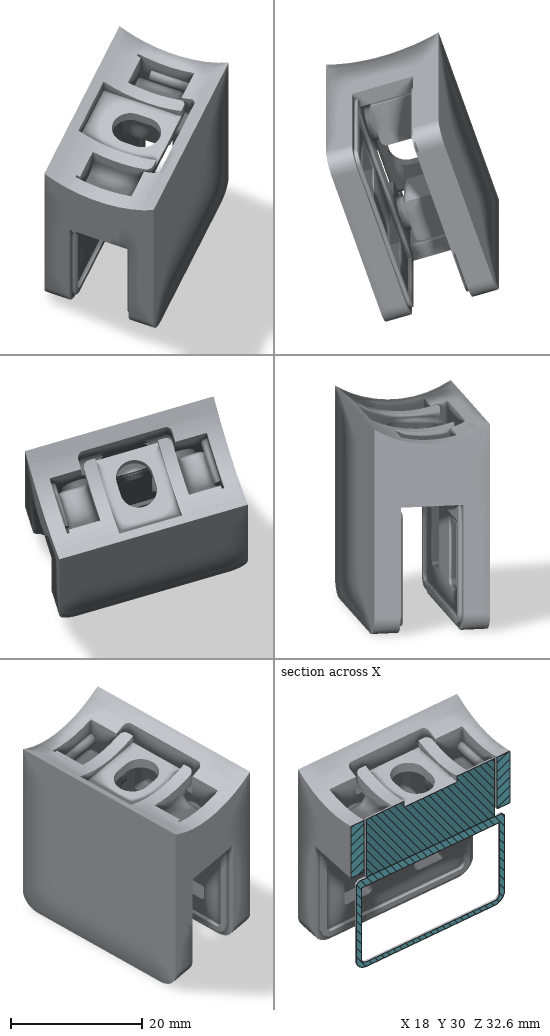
import cadquery as cq
import math

WIDTH = 18.0
DEPTH = 30.0
HEIGHT = 32.6
CORNER_R = 3.0
SADDLE_R = 16.85
JAW_THICKNESS = 4.1
SLOT_TOP = 20.18

JAW_FACE = WIDTH / 2 - JAW_THICKNESS
SADDLE_AXIS_Z = HEIGHT + math.sqrt(SADDLE_R**2 - (WIDTH / 2)**2)

PAD_THICKNESS = 0.6
PAD_INSET = 1.0
PAD_RIM = 1.0
PAD_OPENING_TOP = 17.2
PAD_OPENING_R = 0.98
COVER_PAD_TOP = 18.88
COVER_PAD_CHAMFER = 0.55
PAD_HALF = DEPTH / 2 - PAD_INSET

CAVITY_HALF = 12.52
CAVITY_END = 4.35

POCKET_END = 6.78
POCKET_HALF = 7.5
POCKET_FLOOR = 26.9
RECESS_CORNER_R = 0.95
RECESS_SIDE_R = 0.45
CHANNEL_HALF = 3.95
CHANNEL_FLOOR = 21.2
CHANNEL_FLARE_R = 1.0

BEAD_R = 0.98
BEAD_START = -2.7
BEAD_Z = 26.57
BOSS_R = 2.58
BOSS_Y = 8.02
BOSS_Z = SLOT_TOP + BOSS_R

CHAMBER_OUTER = 9.3
CHAMBER_INNER = CHANNEL_HALF
CHAMBER_BOTTOM = 5.28
CHAMBER_DEPTH = 2.3
CHAMBER_TOP = 15.97
CHAMBER_RIB_R = 0.98
CHAMBER_CORNER_R = 0.5

ARM_HALF = 12.1
TONGUE_HALF = 7.05
TONGUE_END = 5.3
TONGUE_BOTTOM = 27.7
TONGUE_CORNER_R = 1.0
TONGUE_EDGE_R = 0.8
SHOULDER_END = 3.23
SHOULDER_TOP = 26.4
SHOULDER_R = 1.5
SHOULDER_END_R = 0.95
SEAT_START = -7.5
SEAT_HALF = 5.0
SEAT_Z = 29.47
HOLE_LENGTH = 7.63
HOLE_WIDTH = 5.65


def block(x0, x1, y0, y1, z0, z1):
    """Box between the given limits."""
    return cq.Workplane("XY").box(x1 - x0, y1 - y0, z1 - z0, centered=False).translate((x0, y0, z0))


def rod(radius, x0, x1, y, z):
    """Cylinder along X."""
    return cq.Workplane("YZ", origin=(x0, y, z)).circle(radius).extrude(x1 - x0)


def saddle():
    """Tube that hollows the top of the clamp."""
    return cq.Workplane("XZ").center(0, SADDLE_AXIS_Z).circle(SADDLE_R).extrude(DEPTH, both=True)


def jaw(x0):
    """Full-height side plate with rounded lower corners."""
    plate = block(x0, x0 + JAW_THICKNESS, -DEPTH / 2, DEPTH / 2, 0, HEIGHT)
    return plate.edges("|X and <Z").fillet(CORNER_R)


def wall_recess(half_width, floor):
    """Upright recess in the far cavity wall, rounded at its corners and floor edges."""
    raw = block(CAVITY_END, POCKET_END, -half_width, half_width, floor, HEIGHT)
    round_corners = raw.edges("|Z and >X").fillet(RECESS_CORNER_R)
    round_far_edge = raw.edges("|Y and >X and <Z").fillet(RECESS_CORNER_R)
    round_sides = raw.edges("|X and <Z").fillet(RECESS_SIDE_R)
    return round_corners.intersect(round_far_edge).intersect(round_sides)


def channel_flare():
    """Rounded mouth that widens the channel up to the pocket floor."""
    mouth_half = CHANNEL_HALF + CHANNEL_FLARE_R
    mouth_bottom = POCKET_FLOOR - CHANNEL_FLARE_R
    mouth = block(CAVITY_END, POCKET_END, -mouth_half, mouth_half, mouth_bottom, POCKET_FLOOR)
    for side in (-1, 1):
        lip = rod(CHANNEL_FLARE_R, CAVITY_END, POCKET_END, side * mouth_half, mouth_bottom)
        mouth = mouth.cut(lip)
    return mouth


def jaw_chamber():
    """Chamber on the +Y side of the rib in the base jaw."""
    far_wall = JAW_FACE + CHAMBER_DEPTH
    chamber = block(JAW_FACE, far_wall, CHAMBER_INNER, CHAMBER_OUTER, CHAMBER_BOTTOM, CHAMBER_TOP)
    chamber = chamber.edges("|X and <Z and <Y").fillet(CHAMBER_RIB_R)
    return chamber.edges("|X and <Z and >Y").fillet(CHAMBER_CORNER_R)


def make_base():
    """Jaw and bridge in one piece, hollowed for the cover, with snap beads and bosses."""
    bridge = block(-JAW_FACE, JAW_FACE, -DEPTH / 2, DEPTH / 2, SLOT_TOP, HEIGHT)
    base = jaw(JAW_FACE).union(bridge)
    base = base.cut(block(-JAW_FACE, CAVITY_END, -CAVITY_HALF, CAVITY_HALF, SLOT_TOP, HEIGHT))
    base = base.cut(wall_recess(POCKET_HALF, POCKET_FLOOR))
    base = base.cut(wall_recess(CHANNEL_HALF, CHANNEL_FLOOR)).cut(channel_flare())
    base = base.cut(jaw_chamber()).cut(jaw_chamber().mirror("XZ"))
    for side in (-1, 1):
        base = base.union(rod(BEAD_R, BEAD_START, CAVITY_END, side * CAVITY_HALF, BEAD_Z))
        base = base.union(rod(BOSS_R, SHOULDER_END, CAVITY_END, side * BOSS_Y, BOSS_Z))
    return base.cut(saddle())


def make_shoulder(start):
    """Shoulder on the +Y side, blended up into the tongue and rounded at its free end."""
    arc_offset = SHOULDER_R * math.sqrt(0.5)
    blend_y = TONGUE_HALF + SHOULDER_R
    blend_z = SHOULDER_TOP + SHOULDER_R
    round_y = ARM_HALF - SHOULDER_R
    round_z = SHOULDER_TOP - SHOULDER_R
    shoulder = (
        cq.Workplane("YZ", origin=(start, 0, 0))
        .moveTo(SEAT_HALF, SLOT_TOP)
        .lineTo(ARM_HALF, SLOT_TOP)
        .lineTo(ARM_HALF, round_z)
        .threePointArc((round_y + arc_offset, round_z + arc_offset), (round_y, SHOULDER_TOP))
        .lineTo(blend_y, SHOULDER_TOP)
        .threePointArc((blend_y - arc_offset, blend_z - arc_offset), (TONGUE_HALF, blend_z))
        .lineTo(SEAT_HALF, blend_z)
        .close()
        .extrude(SHOULDER_END - start)
    )
    shoulder = shoulder.edges("|Z and >X and <Y").fillet(SHOULDER_END_R)
    top_edge = cq.NearestToPointSelector((SHOULDER_END, (blend_y + round_y) / 2, SHOULDER_TOP))
    return shoulder.edges(top_edge).fillet(SHOULDER_END_R)


def make_tongue():
    """Flat tongue whose overhanging end is rounded at its corners and lower edge."""
    tongue = block(-JAW_FACE, TONGUE_END, -TONGUE_HALF, TONGUE_HALF, TONGUE_BOTTOM, HEIGHT)
    tongue = tongue.edges("|Z and >X").fillet(TONGUE_CORNER_R)
    tongue = tongue.edges("<Z and >X").fillet(TONGUE_EDGE_R)
    root = block(-JAW_FACE, SHOULDER_END, -TONGUE_HALF, TONGUE_HALF, TONGUE_BOTTOM, HEIGHT)
    return tongue.union(root)


def make_cover():
    """Second jaw with the arm that reaches into the base cavity."""
    arm_start = PAD_THICKNESS - JAW_FACE
    cover = jaw(-WIDTH / 2)
    cover = cover.union(block(-JAW_FACE, arm_start, -ARM_HALF, ARM_HALF, COVER_PAD_TOP, HEIGHT))
    cover = cover.union(make_tongue())
    shoulder = make_shoulder(arm_start)
    cover = cover.union(shoulder).union(shoulder.mirror("XZ"))
    cover = cover.cut(block(SEAT_START, TONGUE_END, -SEAT_HALF, SEAT_HALF, SEAT_Z, HEIGHT))
    hole = cq.Workplane("XY", origin=(0, 0, SLOT_TOP)).slot2D(HOLE_LENGTH, HOLE_WIDTH).extrude(HEIGHT)
    return cover.cut(hole).cut(saddle())


def make_pad(x0, top):
    """Frame pad with rounded lower corners."""
    pad = block(x0, x0 + PAD_THICKNESS, -PAD_HALF, PAD_HALF, PAD_INSET, top)
    pad = pad.edges("|X and <Z").fillet(CORNER_R - PAD_INSET)
    half = PAD_HALF - PAD_RIM
    opening = block(x0, x0 + PAD_THICKNESS, -half, half, PAD_INSET + PAD_RIM, PAD_OPENING_TOP)
    return pad.cut(opening.edges("|X and <Z").fillet(PAD_OPENING_R))


base = make_base()
cover = make_cover()
base_pad = make_pad(JAW_FACE - PAD_THICKNESS, SLOT_TOP)
cover_pad = make_pad(-JAW_FACE, COVER_PAD_TOP)
cover_pad = cover_pad.edges("|X and >Z").chamfer(COVER_PAD_CHAMFER)

result = cq.Compound.makeCompound([base.val(), cover.val(), base_pad.val(), cover_pad.val()])